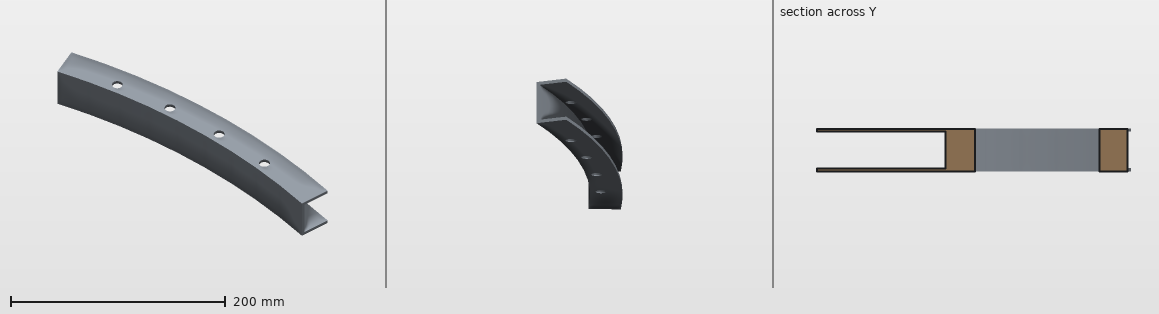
import cadquery as cq
import math

overall_length = 306.5
height = 40.0
outer_radius = 660.0
channel_width = 30.0
wall = 3.0
inner_radius = outer_radius - channel_width

left_end_angle = -19.35
right_end_sine = overall_length / outer_radius + math.sin(math.radians(left_end_angle))
right_end_angle = math.degrees(math.asin(right_end_sine))

hole_count = 4
hole_diameter = 10.0
hole_edge_distance = 20.0
hole_circle_radius = outer_radius - hole_edge_distance
hole_pitch_angle = 5.27
first_hole_offset_angle = 5.23
first_hole_angle = left_end_angle + first_hole_offset_angle


def arc_point(radius, angle):
    """Point at the given radius and angle about the arc centre."""
    turn = math.radians(angle)
    return (radius * math.sin(turn), radius * math.cos(turn))


def ring_sector(small_radius, large_radius, thickness):
    """Part of a flat ring with radial ends, centred on Z = 0."""
    middle_angle = (left_end_angle + right_end_angle) / 2
    return (
        cq.Workplane("XY")
        .moveTo(*arc_point(small_radius, left_end_angle))
        .lineTo(*arc_point(large_radius, left_end_angle))
        .threePointArc(
            arc_point(large_radius, middle_angle),
            arc_point(large_radius, right_end_angle),
        )
        .lineTo(*arc_point(small_radius, right_end_angle))
        .threePointArc(
            arc_point(small_radius, middle_angle),
            arc_point(small_radius, left_end_angle),
        )
        .close()
        .extrude(thickness / 2, both=True)
    )


envelope = ring_sector(inner_radius, outer_radius, height)
cavity = ring_sector(inner_radius + wall, outer_radius, height - 2 * wall)
channel = envelope.cut(cavity)

hole_centres = [
    arc_point(hole_circle_radius, first_hole_angle + index * hole_pitch_angle)
    for index in range(hole_count)
]
holes = (
    cq.Workplane("XY")
    .pushPoints(hole_centres)
    .circle(hole_diameter / 2)
    .extrude(height, both=True)
)

result = channel.cut(holes)